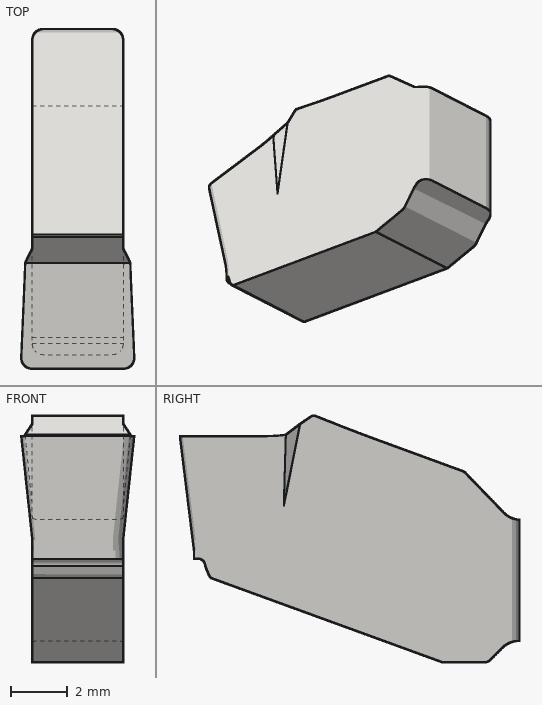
import cadquery as cq
import math

length = 12.0
height = 8.72
body_half = 1.61
head_half = 2.0
corner_radius = 0.4
margin = 2.4
tool_size = 3 * length

edge_z = 7.99
relief_angle = 7.0
relief_bottom_z = 3.94
land_bottom_z = 3.66
relief_tan = math.tan(math.radians(relief_angle))
land_y = (edge_z - relief_bottom_z) * relief_tan
undercut_radius = 0.25
undercut_y = land_y + corner_radius

shoulder_top = (body_half, 4.25, 8.42)
shoulder_edge = (1.86, 3.75, 8.04)
head_inner_corner = (body_half, 3.67, 5.53)
head_front_corner = (body_half, undercut_y, 4.35)
rake_flat = (3.0, edge_z)
head_stock_rear_y = 5.63

toe_front = (1.01, 3.12)
toe_base = (1.1, 2.98)
base_front_y = 9.28
base_rear_y = 10.75
base_round_end = (10.97, 0.1)
rear_lower_blend = (11.39, 0.52)
rear_bottom_z = 0.75
rear_top_z = 5.04
rear_upper_blend = (11.46, 5.27)
roof_round_rear = (10.08, 6.7)
roof_round_front = (9.96, 6.77)
roof_front = (6.91, 7.88)
peak_rear = (5.25, 8.52)
peak_y = 4.74
peak_front = (4.65, 8.7)


def blend_middle(level_end, sloped_end):
    """Middle point of a shallow blend that leaves level_end nearly horizontally."""
    (level_y, level_z), (sloped_y, sloped_z) = level_end, sloped_end
    return ((level_y + sloped_y) / 2, level_z + (sloped_z - level_z) / 4)


def side_outline():
    """Y-Z outline of the whole insert, extruded across its full width."""
    arc_y = undercut_y - undercut_radius
    arc_drop = undercut_radius * math.sin(math.pi / 4)
    arc_mid = (arc_y + arc_drop, land_bottom_z - undercut_radius + arc_drop)
    return (
        cq.Workplane("YZ")
        .moveTo(0, edge_z)
        .lineTo(land_y, relief_bottom_z)
        .lineTo(land_y, land_bottom_z)
        .lineTo(arc_y, land_bottom_z)
        .threePointArc(arc_mid, (undercut_y, land_bottom_z - undercut_radius))
        .lineTo(*toe_front)
        .tangentArcPoint(toe_base, relative=False)
        .lineTo(base_front_y, 0)
        .lineTo(base_rear_y, 0)
        .tangentArcPoint(base_round_end, relative=False)
        .lineTo(*rear_lower_blend)
        .tangentArcPoint((length, rear_bottom_z), relative=False)
        .lineTo(length, rear_top_z)
        .threePointArc(blend_middle((length, rear_top_z), rear_upper_blend), rear_upper_blend)
        .lineTo(*roof_round_rear)
        .tangentArcPoint(roof_round_front, relative=False)
        .lineTo(*roof_front)
        .tangentArcPoint(peak_rear, relative=False)
        .lineTo(peak_y, height)
        .lineTo(*peak_front)
        .lineTo(*shoulder_top[1:])
        .lineTo(*shoulder_edge[1:])
        .threePointArc(blend_middle(rake_flat, shoulder_edge[1:]), rake_flat)
        .close()
        .extrude(head_half + margin, both=True)
    )


def outside_of(corner_a, corner_b, corner_c):
    """Pair of mirrored blocks lying outward of the plane through three corners."""
    a, b, c = (cq.Vector(*corner) for corner in (corner_a, corner_b, corner_c))
    normal = (b - a).cross(c - a)
    if normal.x < 0:
        normal = normal * -1
    plane = cq.Plane(origin=a, xDir=b - a, normal=normal)
    block = cq.Workplane(plane).rect(tool_size, tool_size).extrude(tool_size)
    return block, block.mirror("YZ")


def body_stock():
    """Parallel-sided stock with rounded front and rear corners."""
    top_z = height + margin
    top_y = (edge_z - top_z) * relief_tan
    stock = (
        cq.Workplane("YZ")
        .polyline([(top_y, top_z), (land_y, relief_bottom_z), (land_y, 0), (length, 0), (length, top_z)])
        .close()
        .extrude(body_half, both=True)
    )
    upright_edges = stock.edges("#X").edges("not #Z").edges("not |Y")
    return upright_edges.fillet(corner_radius)


def head_stock():
    """Flared stock narrowing downward and rearward, with rounded front corners."""
    top_z = height + margin
    top_y = (edge_z - top_z) * relief_tan
    bottom_y = edge_z * relief_tan
    stock = (
        cq.Workplane("YZ")
        .polyline([(top_y, top_z), (bottom_y, 0), (head_stock_rear_y, 0), (head_stock_rear_y, top_z)])
        .close()
        .extrude(head_half + margin, both=True)
    )
    for block in outside_of(shoulder_edge, head_inner_corner, head_front_corner):
        stock = stock.cut(block)
    stock = stock.faces("<Y").edges("not #Z").fillet(corner_radius)
    for block in outside_of(shoulder_top, shoulder_edge, head_inner_corner):
        stock = stock.cut(block)
    return stock


result = body_stock().union(head_stock()).intersect(side_outline())